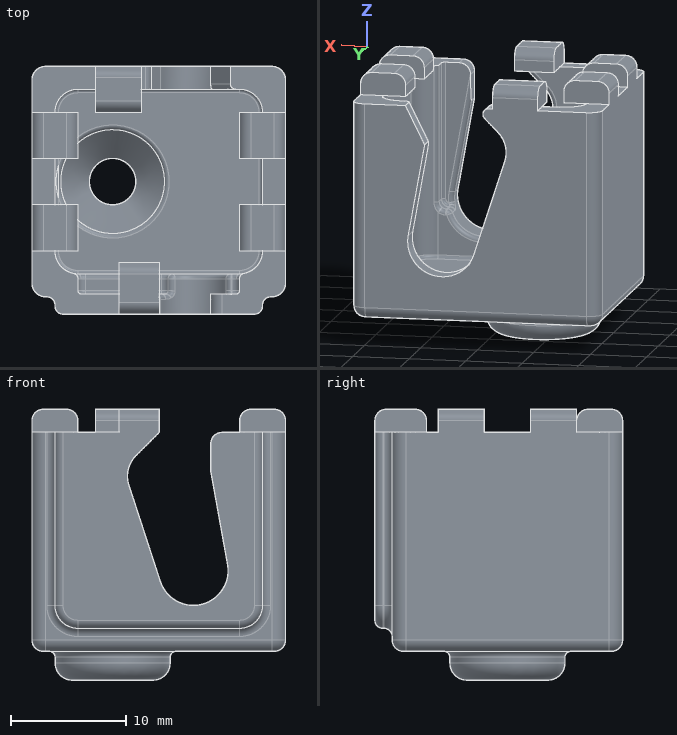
import cadquery as cq
import math

BODY_X = 22.0
BODY_Y = 20.0
BODY_Z = 19.0
WALL = 2.0
BODY_CORNER_R = 1.2
BOTTOM_EDGE_R = 1.0
FRONT_Y = -BODY_Y / 2
BACK_Y = BODY_Y / 2

CAVITY_X = BODY_X - 2 * WALL
CAVITY_Y = BODY_Y - 2 * WALL
CAVITY_CORNER_R = 2.0
CAVITY_FLOOR_R = 0.3
CAVITY_FRONT_Y = -CAVITY_Y / 2
CAVITY_BACK_Y = CAVITY_Y / 2

PANEL_X = 18.0
PANEL_THICKNESS = 1.5
PANEL_BOTTOM_Z = 2.0
PANEL_CORNER_R = 2.0
PANEL_EDGE_R = 0.7
PANEL_FACE_Y = FRONT_Y - PANEL_THICKNESS

POCKET_HALF_X = PANEL_X / 2 - WALL
POCKET_BACK_Y = PANEL_FACE_Y + 1.75
POCKET_FLOOR_Z = PANEL_BOTTOM_Z + WALL
POCKET_STEP_X = 0.9
POCKET_STEP_Z = 6.3
POCKET_CORNER_R = 0.65
POCKET_BACK_R = 0.3

SLOT_SEAT = (3.0, 7.0)
SLOT_SEAT_R = 3.0
SLOT_BULGE = (-0.2, 15.2)
SLOT_BULGE_R = 2.5
SLOT_RIGHT_X = 4.5
SLOT_KNEE_Z = 15.6
NOSE_ANGLE = 135.0
NOSE_X = SLOT_BULGE[0] + (BODY_Z - SLOT_BULGE[1]) - SLOT_BULGE_R * math.sqrt(2)
FLANK_RUN = SLOT_BULGE[0] - SLOT_SEAT[0]
FLANK_RISE = SLOT_BULGE[1] - SLOT_SEAT[1]
FLANK_ANGLE = math.degrees(
    math.atan2(FLANK_RISE, FLANK_RUN)
    + math.acos((SLOT_SEAT_R - SLOT_BULGE_R) / math.hypot(FLANK_RUN, FLANK_RISE))
)
FRONT_MOUTH_R = 1.0
BACK_MOUTH_X = 6.2
BACK_NOSE_R = 0.5
INNER_EDGE_R = 0.45

TAB_HEIGHT = 2.0
TAB_REACH = 4.0
TAB_WIDTH = 4.0
TAB_EDGE_R = 1.0
SIDE_TAB_Y = 4.0
BACK_TAB_X = (-5.5, -1.5)
FRONT_TAB_WIDTH = 3.5
FRONT_TAB_REACH = TAB_REACH + 0.5

BOSS_X = -4.0
BOSS_R = 5.0
BOSS_HEIGHT = 2.5
BOSS_EDGE_R = 1.5
BOSS_FOOT_R = 0.5
FUNNEL_R = 4.5
FUNNEL_LIP_R = 0.4
FUNNEL_HOLE_R = 2.0


def box(x0, x1, y0, y1, z0, z1):
    """Axis-aligned box between the given limits."""
    return cq.Workplane("XY").box(x1 - x0, y1 - y0, z1 - z0, centered=False).translate((x0, y0, z0))


def circle_point(center, radius, angle):
    """Point on a circle at an angle in degrees."""
    turn = math.radians(angle)
    return (center[0] + radius * math.cos(turn), center[1] + radius * math.sin(turn))


def tangent_angle(point, center, radius):
    """Angle, in degrees, where a line from the point touches the right side of a circle below it."""
    dx = point[0] - center[0]
    dz = point[1] - center[1]
    spread = math.acos(radius / math.hypot(dx, dz))
    return math.degrees(math.atan2(dz, dx) - spread)


def make_shell():
    """Body with the front panel and the bottom boss, still solid inside."""
    body = box(-BODY_X / 2, BODY_X / 2, FRONT_Y, BACK_Y, 0, BODY_Z)
    body = body.edges("|Z").fillet(BODY_CORNER_R)
    body = body.faces("<Z").edges().fillet(BOTTOM_EDGE_R)

    panel = box(-PANEL_X / 2, PANEL_X / 2, PANEL_FACE_Y, 0, PANEL_BOTTOM_Z, BODY_Z)
    panel = panel.edges("|Y and <Z").fillet(PANEL_CORNER_R)
    panel = panel.faces("<Y").edges("not >Z").fillet(PANEL_EDGE_R)
    body = body.union(panel)
    panel_foot = cq.selectors.BoxSelector(
        (-PANEL_X / 2 - 0.1, FRONT_Y - 0.1, PANEL_BOTTOM_Z - 0.1),
        (PANEL_X / 2 + 0.1, FRONT_Y + 0.1, BODY_Z - 0.1),
    )
    body = body.edges(panel_foot).fillet(PANEL_EDGE_R)

    boss = cq.Workplane("XY").center(BOSS_X, 0).circle(BOSS_R).extrude(-BOSS_HEIGHT)
    boss = boss.faces("<Z").edges().fillet(BOSS_EDGE_R)
    body = body.union(boss)
    boss_foot = cq.selectors.BoxSelector(
        (BOSS_X - BOSS_R - 0.1, -BOSS_R - 0.1, -0.1),
        (BOSS_X + BOSS_R + 0.1, BOSS_R + 0.1, 0.1),
        boundingbox=True,
    )
    return body.edges(boss_foot).fillet(BOSS_FOOT_R)


def make_cavity():
    """Rounded rectangular space inside the walls."""
    cavity = box(-CAVITY_X / 2, CAVITY_X / 2, CAVITY_FRONT_Y, CAVITY_BACK_Y, WALL, BODY_Z)
    cavity = cavity.edges("|Z").fillet(CAVITY_CORNER_R)
    return cavity.faces("<Z").edges().fillet(CAVITY_FLOOR_R)


def make_pocket():
    """Space behind the panel, opening into the cavity."""
    outline = [
        (-POCKET_HALF_X, BODY_Z),
        (-POCKET_HALF_X, POCKET_FLOOR_Z),
        (POCKET_STEP_X, POCKET_FLOOR_Z),
        (POCKET_STEP_X, POCKET_STEP_Z),
        (POCKET_HALF_X, POCKET_STEP_Z),
        (POCKET_HALF_X, BODY_Z),
    ]
    depth = CAVITY_FRONT_Y - POCKET_BACK_Y
    pocket = cq.Workplane("XZ", origin=(0, CAVITY_FRONT_Y, 0)).polyline(outline).close().extrude(depth)
    for x, z in (outline[1], outline[2], outline[4]):
        corner = cq.selectors.NearestToPointSelector((x, (CAVITY_FRONT_Y + POCKET_BACK_Y) / 2, z))
        pocket = pocket.edges(corner).fillet(POCKET_CORNER_R)
    return pocket.faces("<Y").edges("not >Z").fillet(POCKET_BACK_R)


def make_slot(y_start, y_end, mouth_x):
    """Hooked slot between two Y planes; its right side leans out to mouth_x at the rim."""
    knee = (SLOT_RIGHT_X, SLOT_KNEE_Z)
    knee_angle = tangent_angle(knee, SLOT_SEAT, SLOT_SEAT_R)
    middle_angle = (NOSE_ANGLE + FLANK_ANGLE) / 2
    return (
        cq.Workplane("XZ", origin=(0, y_end, 0))
        .moveTo(NOSE_X, BODY_Z)
        .lineTo(*circle_point(SLOT_BULGE, SLOT_BULGE_R, NOSE_ANGLE))
        .threePointArc(
            circle_point(SLOT_BULGE, SLOT_BULGE_R, middle_angle),
            circle_point(SLOT_BULGE, SLOT_BULGE_R, FLANK_ANGLE),
        )
        .lineTo(*circle_point(SLOT_SEAT, SLOT_SEAT_R, FLANK_ANGLE))
        .threePointArc(
            (SLOT_SEAT[0], SLOT_SEAT[1] - SLOT_SEAT_R),
            circle_point(SLOT_SEAT, SLOT_SEAT_R, knee_angle),
        )
        .lineTo(*knee)
        .lineTo(mouth_x, BODY_Z)
        .close()
        .extrude(y_end - y_start)
    )


def make_funnel():
    """Rounded lip, short bore and 45 degree cone down to the wire hole."""
    cone_bottom = -BOSS_HEIGHT
    cone_top = cone_bottom + (FUNNEL_R - FUNNEL_HOLE_R)
    lip_drop = FUNNEL_LIP_R * (1 - math.sqrt(0.5))
    return (
        cq.Workplane("XZ")
        .moveTo(0, cone_bottom)
        .lineTo(FUNNEL_HOLE_R, cone_bottom)
        .lineTo(FUNNEL_R, cone_top)
        .lineTo(FUNNEL_R, WALL - FUNNEL_LIP_R)
        .threePointArc(
            (FUNNEL_R + lip_drop, WALL - lip_drop),
            (FUNNEL_R + FUNNEL_LIP_R, WALL),
        )
        .lineTo(0, WALL)
        .close()
        .revolve(360, (0, 0, 0), (0, 1, 0))
        .translate((BOSS_X, 0, 0))
    )


def make_tab(x0, x1, y0, y1, long_axis):
    """Rim tab whose two top edges along long_axis are rounded."""
    tab = box(x0, x1, y0, y1, BODY_Z, BODY_Z + TAB_HEIGHT)
    return tab.edges(f"|{long_axis} and >Z").fillet(TAB_EDGE_R)


def make_tabs():
    """Two tabs on each side wall, one on the back wall and one on the front panel."""
    tabs = [
        make_tab(BACK_TAB_X[0], BACK_TAB_X[1], BACK_Y - TAB_REACH, BACK_Y, "X"),
        make_tab(
            NOSE_X - FRONT_TAB_WIDTH, NOSE_X,
            PANEL_FACE_Y, PANEL_FACE_Y + FRONT_TAB_REACH, "X",
        ),
    ]
    for y in (-SIDE_TAB_Y, SIDE_TAB_Y):
        y0 = y - TAB_WIDTH / 2
        y1 = y + TAB_WIDTH / 2
        tabs.append(make_tab(-BODY_X / 2, -BODY_X / 2 + TAB_REACH, y0, y1, "Y"))
        tabs.append(make_tab(BODY_X / 2 - TAB_REACH, BODY_X / 2, y0, y1, "Y"))
    return tabs


def round_edge_near(part, point, radius):
    """Fillet the edge whose middle is nearest to the point."""
    return part.edges(cq.selectors.NearestToPointSelector(point)).fillet(radius)


def round_front_opening(part):
    """Round the right of the front slot's mouth, both step edges and the pocket's lower lip."""
    panel_middle_y = (PANEL_FACE_Y + POCKET_BACK_Y) / 2
    pocket_middle_y = (CAVITY_FRONT_Y + POCKET_BACK_Y) / 2

    seat_x, seat_z = SLOT_SEAT
    left_edge_z = seat_z - math.sqrt(SLOT_SEAT_R**2 - (seat_x - POCKET_STEP_X) ** 2)
    top_edge_x = seat_x + math.sqrt(SLOT_SEAT_R**2 - (seat_z - POCKET_STEP_Z) ** 2)
    for x, z in ((POCKET_STEP_X, left_edge_z), (top_edge_x, POCKET_STEP_Z)):
        part = round_edge_near(part, (x, pocket_middle_y, z), INNER_EDGE_R)

    lower_lip = cq.selectors.BoxSelector(
        (-POCKET_HALF_X + 0.1, CAVITY_FRONT_Y - 0.1, POCKET_FLOOR_Z - 0.1),
        (POCKET_HALF_X - 0.1, CAVITY_FRONT_Y + 0.1, SLOT_SEAT[1]),
    )
    part = part.edges(lower_lip).fillet(INNER_EDGE_R)
    return round_edge_near(part, (SLOT_RIGHT_X, panel_middle_y, BODY_Z), FRONT_MOUTH_R)


def round_back_opening(part):
    """Round the tip of the back slot's nose and the cavity-side edge of its leaning mouth."""
    part = round_edge_near(part, (NOSE_X, (CAVITY_BACK_Y + BACK_Y) / 2, BODY_Z), BACK_NOSE_R)
    mouth_middle = ((SLOT_RIGHT_X + BACK_MOUTH_X) / 2, CAVITY_BACK_Y, (SLOT_KNEE_Z + BODY_Z) / 2)
    return round_edge_near(part, mouth_middle, INNER_EDGE_R)


def make_part():
    part = make_shell().cut(make_cavity()).cut(make_pocket())
    part = part.cut(make_slot(PANEL_FACE_Y, 0, SLOT_RIGHT_X))
    part = round_front_opening(part)
    part = part.cut(make_slot(0, BACK_Y, BACK_MOUTH_X))
    part = round_back_opening(part)
    part = part.cut(make_funnel())
    for tab in make_tabs():
        part = part.union(tab)
    return part


result = make_part()